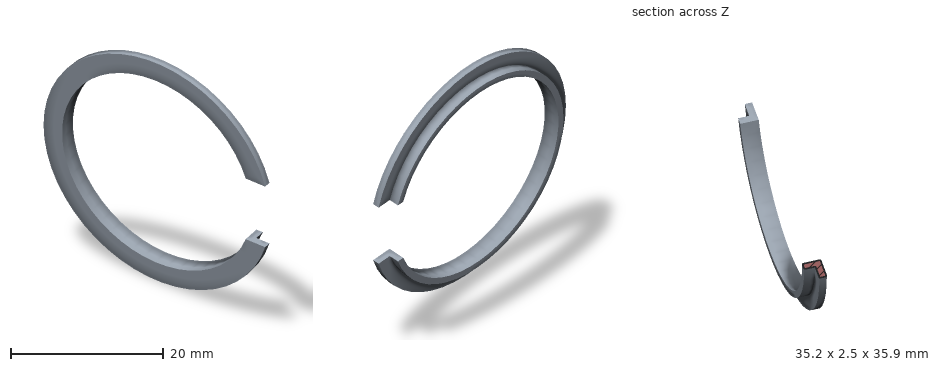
import cadquery as cq

outer_diameter = 35.9
collar_diameter = 31.9
bore_diameter = 30.0
flange_thickness = 1.0
total_depth = 2.5
gap_width = 10.0


def disc(diameter, depth):
    """Solid disc from the front face at Y = 0 toward +Y."""
    return cq.Workplane("XZ").circle(diameter / 2).extrude(-depth)


flange = disc(outer_diameter, flange_thickness)
collar = disc(collar_diameter, total_depth)
bore = disc(bore_diameter, total_depth)
ring = flange.union(collar).cut(bore)

gap = cq.Workplane("XY").box(
    outer_diameter, total_depth, gap_width, centered=(False, False, True)
)

result = ring.cut(gap)